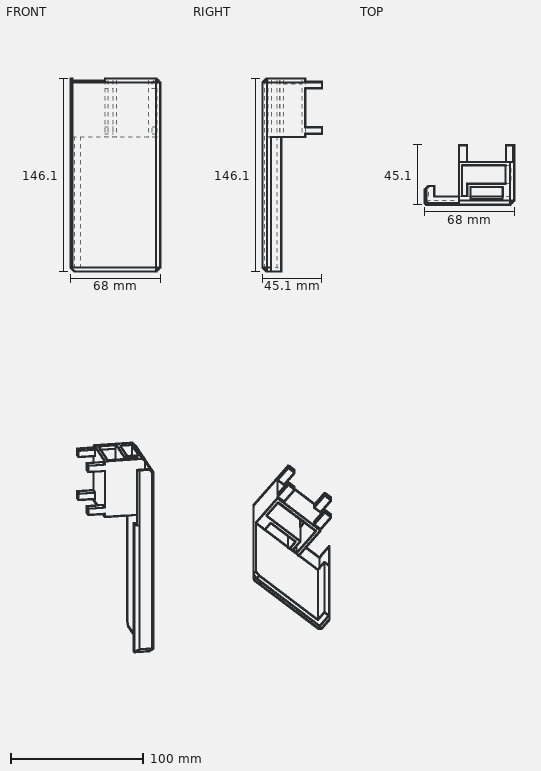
import cadquery as cq

width = 67.96
depth = 45.09
height = 146.05

plate_thickness = 6.35
lip_width = 7.62
lip_depth = 14.28

bevel = 3.3
front_left_bevel = 1.52
lip_back_bevel = 3.175

upper_height = 44.45
upper_z = height - upper_height
front_skin = 1.52
lip_skin = 1.78

peg_length = 12.7
box_width = 41.91
box_left = width - box_width
box_back = depth - peg_length
box_wall = 2.54

large_left = box_left + box_wall
large_top_right = 61.2
large_right = width - box_wall
large_back = box_back - box_wall
leg_front = 6.8
leg_right = 32.4
step_front = 15.95
small_left = leg_right + box_wall
small_right = 59.2
small_front = 4.4
small_back = step_front - box_wall

peg_width = 6.35
peg_thickness = 5.08
upper_peg_drop = 2.54
peg_pitch = 34.3
upper_peg_z = height - upper_peg_drop - peg_thickness


def block(x0, x1, y0, y1, z0, z1):
    """Axis-aligned block between the given limits."""
    return cq.Workplane("XY").box(x1 - x0, y1 - y0, z1 - z0, centered=False).translate((x0, y0, z0))


def edge_wedge(plane, corner, x_dir, y_dir, length):
    """Triangular prism that bevels an edge; its right-angled side lies on the edge."""
    u, v = corner
    points = [(u, v), (u + x_dir * bevel, v), (u, v + y_dir * bevel)]
    return cq.Workplane(plane).polyline(points).close().extrude(length)


def make_plate():
    """Plate and lip as one upright L-section with bevelled vertical edges."""
    return (
        cq.Workplane("XY")
        .moveTo(front_left_bevel, 0)
        .lineTo(width - bevel, 0)
        .lineTo(width, bevel)
        .lineTo(width, plate_thickness)
        .lineTo(lip_width, plate_thickness)
        .lineTo(lip_width, lip_depth)
        .lineTo(lip_back_bevel, lip_depth)
        .lineTo(0, lip_depth - lip_back_bevel)
        .lineTo(0, front_left_bevel)
        .close()
        .extrude(height)
    )


def make_skin_recess():
    """Space left of the box that leaves only the front and lip skins."""
    return block(lip_skin, box_left, front_skin, lip_depth, upper_z, height)


def make_box():
    """Solid box behind the plate, before its openings are cut."""
    return block(box_left, width, plate_thickness, box_back, upper_z, height)


def make_openings():
    """Both vertical openings of the box, as deep as the box is tall."""
    lean_z = height - (large_right - large_top_right)
    large = (
        cq.Workplane("XZ")
        .moveTo(large_left, upper_z)
        .lineTo(large_right, upper_z)
        .lineTo(large_right, lean_z)
        .lineTo(large_top_right, height)
        .lineTo(large_left, height)
        .close()
        .extrude(step_front - large_back)
        .translate((0, step_front, 0))
    )
    leg = block(large_left, leg_right, leg_front, step_front, upper_z, height)
    small = block(small_left, small_right, small_front, small_back, upper_z, height)
    return large.union(leg).union(small)


def make_pegs():
    """Two pegs at each side of the box back, one pair above the other."""
    pegs = cq.Workplane("XY")
    for x in (box_left, width - peg_width):
        for z in (upper_peg_z, upper_peg_z - peg_pitch):
            pegs = pegs.add(block(x, x + peg_width, box_back, depth, z, z + peg_thickness))
    return pegs.combine()


def corner_cutter(z, z_dir):
    """Block that trims the front right corner at height z flat where its three bevels meet."""
    inset = 2 * bevel / 3
    flat = cq.Plane(
        origin=(width - inset, inset, z - z_dir * inset),
        xDir=(1, 1, 0),
        normal=(1, -1, z_dir),
    )
    cutter_size = 4 * bevel
    return cq.Workplane(flat).rect(cutter_size, cutter_size).extrude(cutter_size)


def bevel_ends(body):
    """Bevel the front and right edges at the top, and the left, front and right edges at the bottom."""
    body = body.cut(edge_wedge("XZ", (width, height), -1, -1, -depth))
    body = body.cut(edge_wedge("XZ", (width, 0), -1, 1, -depth))
    body = body.cut(edge_wedge("XZ", (0, 0), 1, 1, -depth))
    body = body.cut(edge_wedge("YZ", (0, height), 1, -1, width))
    body = body.cut(edge_wedge("YZ", (0, 0), 1, 1, width))
    return body.cut(corner_cutter(height, 1)).cut(corner_cutter(0, -1))


body = make_plate().cut(make_skin_recess())
body = body.union(make_box()).cut(make_openings()).union(make_pegs())
result = bevel_ends(body)